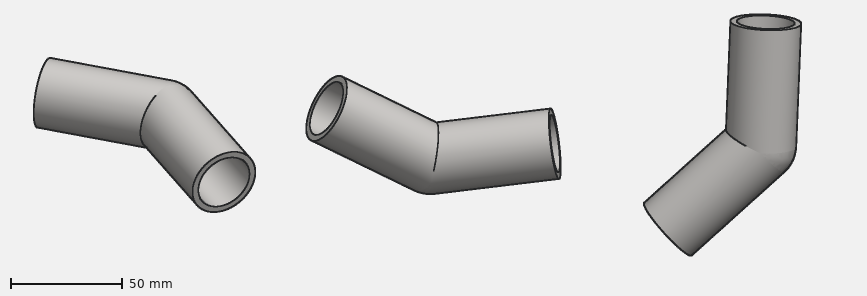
import cadquery as cq
import math

overall_length = 108.6
outer_diameter = 32.0
inner_diameter = 26.1
bend_angle = 45.0

outer_radius = outer_diameter / 2
inner_radius = inner_diameter / 2
bend = math.radians(bend_angle)

leg_length = (overall_length - outer_radius * math.sin(bend)) / (1 + math.cos(bend))

straight_direction = cq.Vector(-1, 0, 0)
inclined_direction = cq.Vector(math.cos(bend), -math.sin(bend), 0)
bend_centre = cq.Vector(0, 0, 0)


def bent_rod(radius):
    """Two solid round legs meeting in a ball at the bend centre."""
    rod = cq.Workplane("XY").sphere(radius)
    for direction in (straight_direction, inclined_direction):
        leg = cq.Solid.makeCylinder(radius, leg_length, bend_centre, direction)
        rod = rod.union(cq.Workplane(obj=leg))
    return rod


result = bent_rod(outer_radius).cut(bent_rod(inner_radius))